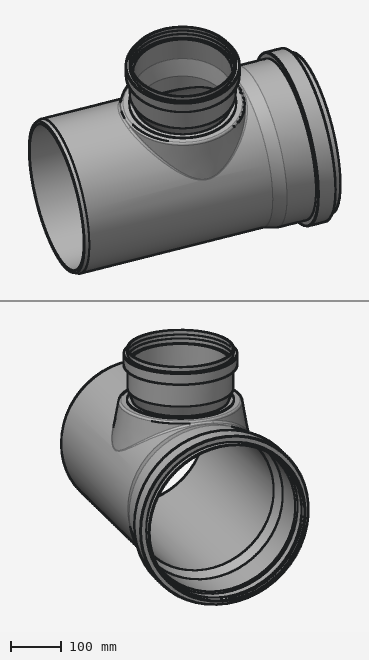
import cadquery as cq
import math

total_length = 538.0
socket_mouth_y = 271.0
pipe_radius = 316.0 / 2
pipe_bore_radius = 298.0 / 2
spigot_chamfer_length = 8.5
spigot_chamfer_height = 4.0

socket_wall = 6.7
lip_wall = 1.9
seal_thickness = 4.0
bead_chamfer = 1.35

run_socket_radius = 330.0 / 2
run_bead_radius = 354.5 / 2
run_bead_start = 14.5
run_bead_end = 52.0
run_cone_start = 113.5
run_cone_end = 141.0
run_seal_start = 18.5
run_seal_end = 41.0

total_height = 450.0
branch_mouth_z = total_height - run_bead_radius
branch_lip_radius = 211.0 / 2
branch_socket_radius = 210.0 / 2
branch_bead_radius = 226.0 / 2
branch_bore_radius = 176.5 / 2
branch_bead_start = 10.0
branch_bead_end = 35.0
branch_seal_start = 18.0
branch_seal_end = 27.5
branch_cone_start = 83.5
branch_bore_cone_start = 77.5
branch_bore_cone_end = 114.5
branch_neck_radius = 191.5 / 2

saddle_depth = 108.5
saddle_top_z = branch_mouth_z - saddle_depth
saddle_top_radius = 122.0
saddle_angle = 10.3
saddle_edge_radius = 5.0
saddle_root_radius = 5.0
saddle_base_z = 27.0
collar_radius = 212.0 / 2
collar_height = 1.5


def revolve_y(points):
    """Revolve a closed (radius, y) outline about the run axis."""
    return cq.Workplane("XY").polyline(points).close().revolve(360, (0, 0, 0), (0, 1, 0))


def revolve_z(points):
    """Revolve a closed (radius, z) outline about the branch axis."""
    return cq.Workplane("XZ").polyline(points).close().revolve(360, (0, 0, 0), (0, 1, 0))


def bead_outline(bead_radius, near_radius, far_radius, start, end):
    """Stations (radius, depth) of a raised bead with chamfered corners."""
    return [
        (near_radius, start),
        (bead_radius - bead_chamfer, start),
        (bead_radius, start + bead_chamfer),
        (bead_radius, end - bead_chamfer),
        (bead_radius - bead_chamfer, end),
        (far_radius, end),
    ]


def from_mouth(stations, mouth):
    """Turn (radius, depth) stations into (radius, axial position) points."""
    return [(radius, mouth - depth) for radius, depth in stations]


def run_outer():
    stations = [(0, 0), (run_socket_radius, 0)]
    stations += bead_outline(
        run_bead_radius, run_socket_radius, run_socket_radius, run_bead_start, run_bead_end
    )
    stations += [
        (run_socket_radius, run_cone_start),
        (pipe_radius, run_cone_end),
        (pipe_radius, total_length - spigot_chamfer_length),
        (pipe_radius - spigot_chamfer_height, total_length),
        (0, total_length),
    ]
    return revolve_y(from_mouth(stations, socket_mouth_y))


def run_bore():
    lip_bore_radius = run_socket_radius - lip_wall
    socket_bore_radius = run_socket_radius - socket_wall
    stations = [
        (0, 0),
        (lip_bore_radius, 0),
        (lip_bore_radius, run_seal_end),
        (socket_bore_radius, run_seal_end),
        (socket_bore_radius, run_cone_start),
        (pipe_bore_radius, run_cone_end),
        (pipe_bore_radius, total_length),
        (0, total_length),
    ]
    return revolve_y(from_mouth(stations, socket_mouth_y))


def saddle():
    base_radius = saddle_top_radius + math.tan(math.radians(saddle_angle)) * (saddle_top_z - saddle_base_z)
    cone = revolve_z([
        (0, saddle_base_z),
        (base_radius, saddle_base_z),
        (saddle_top_radius, saddle_top_z),
        (0, saddle_top_z),
    ])
    return cone.faces(">Z").edges().fillet(saddle_edge_radius)


def branch_outer():
    stations = [(0, 0), (branch_lip_radius, 0)]
    stations += bead_outline(
        branch_bead_radius, branch_lip_radius, branch_socket_radius, branch_bead_start, branch_bead_end
    )
    stations += [
        (branch_socket_radius, branch_cone_start),
        (branch_neck_radius, saddle_depth - collar_height),
        (collar_radius, saddle_depth - collar_height),
        (collar_radius, saddle_depth),
        (branch_neck_radius, saddle_depth),
        (branch_neck_radius, branch_mouth_z - saddle_base_z),
        (0, branch_mouth_z - saddle_base_z),
    ]
    return revolve_z(from_mouth(stations, branch_mouth_z))


def branch_bore():
    lip_bore_radius = branch_lip_radius - lip_wall
    socket_bore_radius = branch_socket_radius - socket_wall
    stations = [
        (0, 0),
        (lip_bore_radius, 0),
        (lip_bore_radius, branch_seal_end),
        (socket_bore_radius, branch_seal_end),
        (socket_bore_radius, branch_bore_cone_start),
        (branch_bore_radius, branch_bore_cone_end),
        (branch_bore_radius, branch_mouth_z),
        (0, branch_mouth_z),
    ]
    return revolve_z(from_mouth(stations, branch_mouth_z))


def seal_stations(inner_radius, start, end):
    """Rectangular ring section, flush with the bore of the socket lip."""
    outer_radius = inner_radius + seal_thickness
    return [
        (inner_radius, start),
        (outer_radius, start),
        (outer_radius, end),
        (inner_radius, end),
    ]


def run_seal():
    stations = seal_stations(run_socket_radius - lip_wall, run_seal_start, run_seal_end)
    return revolve_y(from_mouth(stations, socket_mouth_y))


def branch_seal():
    stations = seal_stations(branch_lip_radius - lip_wall, branch_seal_start, branch_seal_end)
    return revolve_z(from_mouth(stations, branch_mouth_z))


def saddle_root_edges(body):
    """Pick the curve where the saddle flank runs into the pipe."""
    reach = saddle_top_radius + saddle_root_radius * 5
    region = cq.selectors.BoxSelector(
        (-pipe_radius, -reach, saddle_base_z),
        (pipe_radius, reach, saddle_top_z - saddle_edge_radius - collar_height),
        boundingbox=False,
    )
    return body.edges(region).edges("not %CIRCLE").edges("not %LINE")


def tee_housing(seals):
    body = run_outer().union(saddle())
    body = saddle_root_edges(body).fillet(saddle_root_radius)
    body = body.union(branch_outer()).cut(run_bore()).cut(branch_bore())
    for seal in seals:
        body = body.cut(seal)
    return body


run_ring = run_seal()
branch_ring = branch_seal()
housing = tee_housing([run_ring, branch_ring])
result = cq.Compound.makeCompound([housing.val(), run_ring.val(), branch_ring.val()])